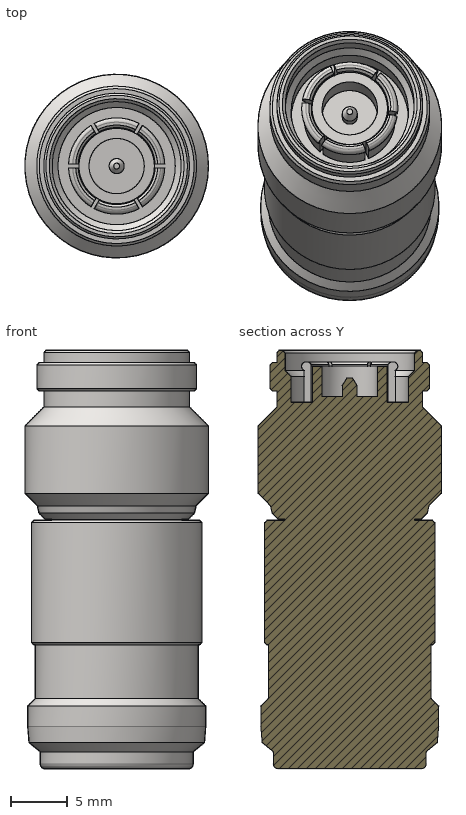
import cadquery as cq
import math

length = 36.9
body_diameter = 16.2
body_radius = body_diameter / 2
edge_chamfer = 0.22

rear_spigot_radius = 6.75
rear_fillet = 0.45
rear_spigot_top = 1.5
rear_taper_radius = 7.75
rear_taper_z = 2.32
rear_collar_radius = 7.85
rear_collar_z = 3.73
rear_collar_top = 5.55
shank_radius = 7.2
shank_bottom = rear_collar_top + (rear_collar_radius - shank_radius)

sleeve_radius = 7.53
sleeve_bottom = 10.92
sleeve_top = 21.92

groove_radius = 5.72
nut_bottom = 22.0
nut_lip_radius = 6.85
nut_lip_chamfer = 0.55
nut_barrel_bottom = 24.28
nut_barrel_top = 30.22
neck_radius = 6.42
nut_cone_foot_radius = 7.0
nut_cone_foot = nut_barrel_bottom - (body_radius - nut_cone_foot_radius)
neck_bottom = nut_barrel_top + (body_radius - neck_radius)
collar_radius = 7.05
collar_bottom = 33.3
collar_top = 35.83
rim_chamfer = 0.2

socket_radius = 5.7
mouth_chamfer = 0.25
socket_step_depth = 1.8
socket_inner_radius = 5.15
socket_cone_height = 0.5
socket_depth = 4.58
socket_floor = length - socket_depth

finger_outer_radius = 4.02
finger_bulge_radius = 4.25
finger_tip_outer = 3.87
finger_tip_inner = 3.6
finger_inner_radius = 3.4
finger_tip_depth = 1.05
finger_bulge_height = 0.75
finger_lead_in = finger_tip_inner - finger_inner_radius
slot_count = 6
slot_width = 0.35

insulator_radius = 3.32
insulator_depth = 1.4
insulator_bore_radius = 2.45
insulator_bore_depth = 4.05
pin_radius = 0.65
pin_tip_radius = 0.25
pin_tip_depth = 2.45
pin_tip_height = 0.65


def revolve_profile(sketch):
    """Close a half section drawn in X (radius) and Z and turn it about the Z axis."""
    return sketch.close().revolve(360, (0, 0, 0), (0, 1, 0))


def cylinder(radius, bottom, top):
    return cq.Workplane("XY").workplane(offset=bottom).circle(radius).extrude(top - bottom)


def make_body():
    """Solid outer shape, from the rear spigot up to the front rim."""
    spigot_centre = rear_spigot_radius - rear_fillet
    arc_reach = rear_fillet * math.sqrt(0.5)
    fillet_middle = (spigot_centre + arc_reach, rear_fillet - arc_reach)
    return revolve_profile(
        cq.Workplane("XZ")
        .moveTo(0, 0)
        .lineTo(spigot_centre, 0)
        .threePointArc(fillet_middle, (rear_spigot_radius, rear_fillet))
        .lineTo(rear_spigot_radius, rear_spigot_top)
        .lineTo(rear_taper_radius, rear_taper_z)
        .lineTo(rear_collar_radius, rear_collar_z)
        .lineTo(rear_collar_radius, rear_collar_top)
        .lineTo(shank_radius, shank_bottom)
        .lineTo(shank_radius, sleeve_bottom)
        .lineTo(sleeve_radius - edge_chamfer, sleeve_bottom)
        .lineTo(sleeve_radius, sleeve_bottom + edge_chamfer)
        .lineTo(sleeve_radius, sleeve_top - edge_chamfer)
        .lineTo(sleeve_radius - edge_chamfer, sleeve_top)
        .lineTo(groove_radius, sleeve_top)
        .lineTo(groove_radius, nut_bottom)
        .lineTo(nut_lip_radius - nut_lip_chamfer, nut_bottom)
        .lineTo(nut_lip_radius, nut_bottom + nut_lip_chamfer)
        .lineTo(nut_cone_foot_radius, nut_cone_foot)
        .lineTo(body_radius, nut_barrel_bottom)
        .lineTo(body_radius, nut_barrel_top)
        .lineTo(neck_radius, neck_bottom)
        .lineTo(neck_radius, collar_bottom)
        .lineTo(collar_radius - edge_chamfer, collar_bottom)
        .lineTo(collar_radius, collar_bottom + edge_chamfer)
        .lineTo(collar_radius, collar_top - edge_chamfer)
        .lineTo(collar_radius - edge_chamfer, collar_top)
        .lineTo(neck_radius, collar_top)
        .lineTo(neck_radius, length - rim_chamfer)
        .lineTo(neck_radius - rim_chamfer, length)
        .lineTo(0, length)
    )


def make_socket():
    """Stepped cavity in the front end, with a bevelled mouth."""
    step_z = length - socket_step_depth
    return revolve_profile(
        cq.Workplane("XZ")
        .moveTo(0, length)
        .lineTo(socket_radius + mouth_chamfer, length)
        .lineTo(socket_radius, length - mouth_chamfer)
        .lineTo(socket_radius, step_z)
        .lineTo(socket_inner_radius, step_z - socket_cone_height)
        .lineTo(socket_inner_radius, socket_floor)
        .lineTo(0, socket_floor)
    )


def make_fingers():
    """Ring of spring contacts with rounded tips, split by radial slots."""
    tip_z = length - finger_tip_depth
    bulge_z = tip_z - finger_bulge_height / 2
    ring = revolve_profile(
        cq.Workplane("XZ")
        .moveTo(finger_inner_radius, socket_floor)
        .lineTo(finger_outer_radius, socket_floor)
        .lineTo(finger_outer_radius, tip_z - finger_bulge_height)
        .threePointArc((finger_bulge_radius, bulge_z), (finger_tip_outer, tip_z))
        .lineTo(finger_tip_inner, tip_z)
        .lineTo(finger_inner_radius, tip_z - finger_lead_in)
    )
    for index in range(slot_count):
        slot = (
            cq.Workplane("XY")
            .workplane(offset=socket_floor)
            .center(socket_inner_radius / 2, 0)
            .rect(socket_inner_radius, slot_width)
            .extrude(socket_depth)
            .rotate((0, 0, 0), (0, 0, 1), index * 360 / slot_count)
        )
        ring = ring.cut(slot)
    return ring


def make_pin():
    """Centre contact with a conical tip."""
    tip_z = length - pin_tip_depth
    return revolve_profile(
        cq.Workplane("XZ")
        .moveTo(0, socket_floor)
        .lineTo(pin_radius, socket_floor)
        .lineTo(pin_radius, tip_z - pin_tip_height)
        .lineTo(pin_tip_radius, tip_z)
        .lineTo(0, tip_z)
    )


def make_insulator():
    """Insulating collar with a blind bore around the centre pin."""
    collar = cylinder(insulator_radius, socket_floor, length - insulator_depth)
    bore = cylinder(insulator_bore_radius, length - insulator_bore_depth, length)
    return collar.cut(bore)


result = make_body().cut(make_socket())
result = result.union(make_insulator()).union(make_fingers()).union(make_pin())